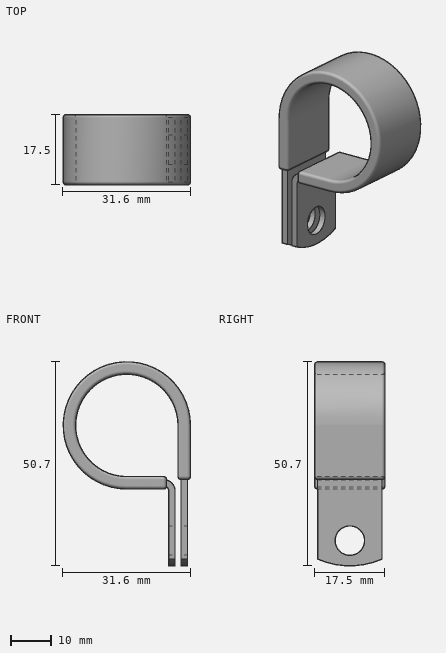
import cadquery as cq
import math

outer_radius = 15.8
height = 50.65
cushion_width = 17.5
edge_round = 0.75
strap_thickness = 1.6
cushion_leg_end_z = -13.45
cushion_foot_end_x = 9.9
bent_tab_outer_x = 12.0
bend_inner_radius = 1.25
hole_diameter = 7.25
hole_z = -28.6
tip_sagitta = 1.65

cushion_thickness = strap_thickness + 2 * edge_round
cushion_inner_radius = outer_radius - cushion_thickness
strap_outer_radius = outer_radius - edge_round
strap_inner_radius = strap_outer_radius - strap_thickness
strap_width = cushion_width - 2 * edge_round
bend_outer_radius = bend_inner_radius + strap_thickness
bent_tab_inner_x = bent_tab_outer_x - strap_thickness
bend_center_x = bent_tab_outer_x - bend_outer_radius
bend_center_z = -strap_inner_radius - bend_outer_radius
tip_z = outer_radius - height
tip_corner_z = tip_z + tip_sagitta
diagonal = math.sqrt(0.5)


def centered_extrude(profile, width):
    """Extrude an XZ profile symmetrically about the Y = 0 plane."""
    return profile.extrude(width / 2, both=True)


def make_cushion():
    """Three-quarter loop with a vertical leg and a horizontal foot, rounded on all edges."""
    profile = (
        cq.Workplane("XZ")
        .moveTo(outer_radius, cushion_leg_end_z)
        .lineTo(outer_radius, 0)
        .threePointArc((-outer_radius * diagonal, outer_radius * diagonal), (0, -outer_radius))
        .lineTo(cushion_foot_end_x, -outer_radius)
        .lineTo(cushion_foot_end_x, -cushion_inner_radius)
        .lineTo(0, -cushion_inner_radius)
        .threePointArc(
            (-cushion_inner_radius * diagonal, cushion_inner_radius * diagonal),
            (cushion_inner_radius, 0),
        )
        .lineTo(cushion_inner_radius, cushion_leg_end_z)
        .close()
    )
    body = centered_extrude(profile, cushion_width)
    leg_end_point = ((outer_radius + cushion_inner_radius) / 2, 0, cushion_leg_end_z)
    foot_end_point = (cushion_foot_end_x, 0, -(outer_radius + cushion_inner_radius) / 2)
    side_edges = body.faces("<Y or >Y").edges()
    leg_end_edges = body.faces(cq.NearestToPointSelector(leg_end_point)).edges()
    foot_end_edges = body.faces(cq.NearestToPointSelector(foot_end_point)).edges()
    return side_edges.add(leg_end_edges).add(foot_end_edges).fillet(edge_round)


def make_straight_tab():
    """Strap continuing straight down from inside the cushion leg."""
    profile = (
        cq.Workplane("XZ")
        .moveTo(strap_inner_radius, 0)
        .lineTo(strap_outer_radius, 0)
        .lineTo(strap_outer_radius, tip_z)
        .lineTo(strap_inner_radius, tip_z)
        .close()
    )
    return centered_extrude(profile, strap_width)


def make_bent_tab():
    """Strap leaving the cushion foot and bending down parallel to the straight tab."""
    profile = (
        cq.Workplane("XZ")
        .moveTo(0, -strap_inner_radius)
        .lineTo(bend_center_x, -strap_inner_radius)
        .threePointArc(
            (bend_center_x + bend_outer_radius * diagonal, bend_center_z + bend_outer_radius * diagonal),
            (bent_tab_outer_x, bend_center_z),
        )
        .lineTo(bent_tab_outer_x, tip_z)
        .lineTo(bent_tab_inner_x, tip_z)
        .lineTo(bent_tab_inner_x, bend_center_z)
        .threePointArc(
            (bend_center_x + bend_inner_radius * diagonal, bend_center_z + bend_inner_radius * diagonal),
            (bend_center_x, -strap_outer_radius),
        )
        .lineTo(0, -strap_outer_radius)
        .close()
    )
    return centered_extrude(profile, strap_width)


def make_tab_outline():
    """Face-on envelope of both tabs, with the arched tip and the bolt hole."""
    half_width = strap_width / 2
    envelope = (
        cq.Workplane("YZ")
        .moveTo(-half_width, 0)
        .lineTo(-half_width, tip_corner_z)
        .threePointArc((0, tip_z), (half_width, tip_corner_z))
        .lineTo(half_width, 0)
        .close()
        .extrude(outer_radius)
    )
    bolt_hole = (
        cq.Workplane("YZ")
        .center(0, hole_z)
        .circle(hole_diameter / 2)
        .extrude(outer_radius)
    )
    return envelope.cut(bolt_hole)


tabs = make_straight_tab().union(make_bent_tab()).intersect(make_tab_outline())
result = make_cushion().union(tabs)